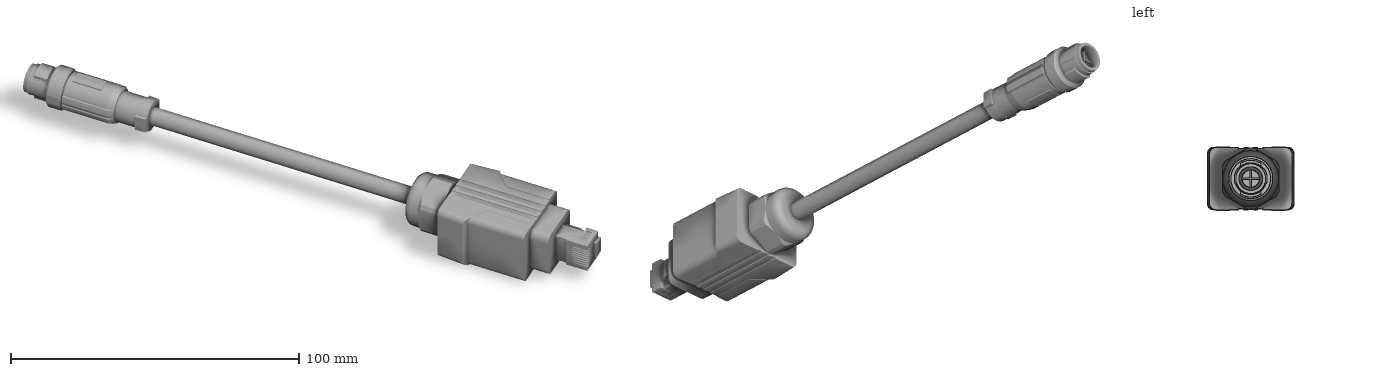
import cadquery as cq
import math


TIP_END = 0.0
TIP_RING_X = 1.5
LUG_START = 3.5
LUG_END = 8.5
COLLAR_START = 9.3
COLLAR_END = 15.1
GRIP_START = 15.8
GRIP_CONE_X = 32.5
GRIP_END = 35.0
RELIEF_PAD_X = 43.0
RELIEF_END = 47.1
NUT_START = 147.2
HEX_START = 152.8
HEX_END = 161.2
SHELL_START = 162.5
SHELL_END = 195.4
SOCKET_END = 202.5
PLUG_FRAME_X = 206.8
PLUG_HEAD_X = 210.7
PLUG_END = 215.0
NOSE_END = 216.0

TIP_DIAMETER = 10.4
TIP_BODY_DIAMETER = 11.0
BORE_DIAMETER = 8.2
BORE_DEPTH = 5.5
INSERT_DIAMETER = 6.0
INSERT_HEIGHT = 2.2
SHIELD_HEIGHT = 0.9
SHIELD_THICKNESS = 0.5
SIDE_PAD_DIAMETER = 11.5
SIDE_PAD_TOP = 3.5
SIDE_PAD_BOTTOM = -1.7
LUG_DIAMETER = 12.7
LUG_WIDTH = 7.1
COLLAR_DIAMETER = 15.3
COLLAR_CHAMFER = 0.75
COLLAR_FLAT_WIDTH = 3.5
NECK_DIAMETER = 12.5
GRIP_DIAMETER = 14.0
GRIP_END_DIAMETER = 12.7
RIB_DIAMETER = 15.3
RIB_BAND_WIDTH = 5.8
RIB_GAP = 1.3
RIB_CHAMFER = 1.3
LABEL_START = 17.5
LABEL_LENGTH = 11.0
LABEL_WIDTH = 4.8
LABEL_HEIGHT = 7.1
RELIEF_DIAMETER = 11.2
RELIEF_BAND_DIAMETER = 11.5
RELIEF_PAD_WIDTH = 6.0
RELIEF_PAD_START_HEIGHT = 6.0
RELIEF_PAD_END_HEIGHT = 5.8
CABLE_DIAMETER = 6.5

NUT_DIAMETER = 19.5
NUT_FILLET = 2.8
HEX_ACROSS_FLATS = 19.5
HEX_ACROSS_CORNER_FLATS = 21.5
GLAND_NECK_DIAMETER = 15.5

FLARE_HEIGHT = 21.6
SHELL_START_WIDTH = 28.5
SHELL_WIDTH = 30.0
SHELL_WIDEST_X = 172.5
SADDLE_START = 178.7
SADDLE_WIDTH = 14.7
SHELL_FILLET = 2.2
CORE_WIDTH = 27.2
CORE_HEIGHT = 22.0
GROOVE_COUNT = 3
GROOVE_WIDTH = 2.0
GROOVE_PITCH = 3.2
GROOVE_DEPTH = 0.32
SOCKET_SIZE = 18.2
SOCKET_FILLET = 2.8

PLUG_BODY_HEIGHT = 11.0
PLUG_BODY_BOTTOM = -3.2
PLUG_BODY_TOP = 3.0
FRAME_HEIGHT = 11.5
FRAME_BOTTOM = -3.9
FRAME_LEDGE = -1.5
HEAD_TOP = 5.0
HEAD_POCKET_START = 211.8
HEAD_POCKET_END = 213.5
HEAD_POCKET_BOTTOM = 0.5
HEAD_POCKET_TOP = 3.5
HEAD_POCKET_DEPTH = 0.2
NOSE_BOTTOM = 1.3
LATCH_WIDTH = 6.5
LATCH_TOP = 6.3
LATCH_BOTTOM = 4.8
LATCH_BEND_X = 207.7
LATCH_TIP_BOTTOM = 3.9
CONTACT_COUNT = 8
CONTACT_PITCH = 1.02
CONTACT_WIDTH = 0.55
CONTACT_START = 209.2
CONTACT_DEPTH = 2.0


def rod(start, end, diameter):
    """Cylinder on the X axis between two stations."""
    return cq.Workplane("YZ", origin=(start, 0, 0)).circle(diameter / 2).extrude(end - start)


def block(x_range, y_range, z_range):
    """Box given by its limits along each axis."""
    sizes = [high - low for low, high in (x_range, y_range, z_range)]
    corner = (x_range[0], y_range[0], z_range[0])
    return cq.Workplane("XY").box(*sizes, centered=False).translate(corner)


def centred(width):
    """Limits of a width centred on zero."""
    return (-width / 2, width / 2)


def prism(points, height):
    """XY outline extruded by height, centred on Z = 0."""
    return cq.Workplane("XY").polyline(points).close().extrude(height / 2, both=True)


def make_tip():
    """Hollow mating tip with two side pads, two lugs and an insert carrying a crossed shield."""
    tip = rod(TIP_END, TIP_RING_X, TIP_DIAMETER)
    tip = tip.union(rod(TIP_RING_X, COLLAR_START, TIP_BODY_DIAMETER))

    side_band = block(
        (TIP_RING_X, COLLAR_START), centred(SIDE_PAD_DIAMETER), (SIDE_PAD_BOTTOM, SIDE_PAD_TOP)
    )
    tip = tip.union(rod(TIP_RING_X, COLLAR_START, SIDE_PAD_DIAMETER).intersect(side_band))

    lug_band = block((LUG_START, LUG_END), centred(LUG_WIDTH), centred(LUG_DIAMETER))
    tip = tip.union(rod(LUG_START, LUG_END, LUG_DIAMETER).intersect(lug_band))

    tip = tip.cut(rod(TIP_END, BORE_DEPTH, BORE_DIAMETER))
    insert_face = BORE_DEPTH - INSERT_HEIGHT
    tip = tip.union(rod(insert_face, BORE_DEPTH, INSERT_DIAMETER))

    shield_x = (insert_face - SHIELD_HEIGHT, insert_face)
    across = centred(INSERT_DIAMETER)
    thin = centred(SHIELD_THICKNESS)
    return tip.union(block(shield_x, across, thin)).union(block(shield_x, thin, across))


def make_collar():
    """Chamfered ring with a narrow flat on each side."""
    collar = rod(COLLAR_START, COLLAR_END, COLLAR_DIAMETER).edges().chamfer(COLLAR_CHAMFER)
    across_flats = math.sqrt(COLLAR_DIAMETER**2 - COLLAR_FLAT_WIDTH**2)
    flats = block(
        (COLLAR_START, COLLAR_END), centred(across_flats), centred(COLLAR_DIAMETER)
    )
    return collar.intersect(flats).union(rod(COLLAR_END, GRIP_START, NECK_DIAMETER))


def make_grip():
    """Sleeve with a tapered end, a pair of ribs on each side and label pads."""
    outline = [
        (GRIP_START, 0),
        (GRIP_START, GRIP_DIAMETER / 2),
        (GRIP_CONE_X, GRIP_DIAMETER / 2),
        (GRIP_END, GRIP_END_DIAMETER / 2),
        (GRIP_END, 0),
    ]
    grip = cq.Workplane("XY").polyline(outline).close().revolve(360, (0, 0, 0), (1, 0, 0))

    ribs = rod(GRIP_START, GRIP_END, RIB_DIAMETER).faces(">X").edges().chamfer(RIB_CHAMFER)
    for side in (-1, 1):
        rib_z = sorted((side * RIB_GAP / 2, side * RIB_BAND_WIDTH / 2))
        band = block((GRIP_START, GRIP_END), centred(RIB_DIAMETER), rib_z)
        grip = grip.union(ribs.intersect(band))

    label_x = (LABEL_START, LABEL_START + LABEL_LENGTH)
    return grip.union(block(label_x, centred(LABEL_WIDTH), centred(2 * LABEL_HEIGHT)))


def make_strain_relief():
    """Rear sleeve and end band with a sloping flat pad on each side."""
    relief = rod(GRIP_END, RELIEF_PAD_X, RELIEF_DIAMETER)
    relief = relief.union(rod(RELIEF_PAD_X, RELIEF_END, RELIEF_BAND_DIAMETER))
    pads = [
        (RELIEF_PAD_X, -RELIEF_PAD_START_HEIGHT),
        (RELIEF_END, -RELIEF_PAD_END_HEIGHT),
        (RELIEF_END, RELIEF_PAD_END_HEIGHT),
        (RELIEF_PAD_X, RELIEF_PAD_START_HEIGHT),
    ]
    return relief.union(prism(pads, RELIEF_PAD_WIDTH))


def make_gland():
    """Domed nut with a hexagon whose corners are flattened, and its neck."""
    dome = rod(NUT_START, HEX_END, NUT_DIAMETER).faces("<X").edges().fillet(NUT_FILLET)

    across_corners = 2 * HEX_ACROSS_FLATS / math.sqrt(3)
    hexagon = (
        cq.Workplane("YZ", origin=(HEX_START, 0, 0))
        .transformed(rotate=(0, 0, 90))
        .polygon(6, across_corners)
        .extrude(HEX_END - HEX_START)
    )
    corner_flats = (
        cq.Workplane("YZ", origin=(HEX_START, 0, 0))
        .polygon(6, 2 * HEX_ACROSS_CORNER_FLATS / math.sqrt(3))
        .extrude(HEX_END - HEX_START)
    )
    lead_in = rod(HEX_START, HEX_END, across_corners).faces("<X").edges().chamfer(
        (across_corners - NUT_DIAMETER) / 2
    )
    nut = dome.union(hexagon.intersect(corner_flats).intersect(lead_in))
    return nut.union(rod(HEX_END, SHELL_START, GLAND_NECK_DIAMETER))


def make_shell():
    """Flared shell and saddle set slightly below a narrower core, grooved on top and bottom."""
    upper_side = [
        (SHELL_START, SHELL_START_WIDTH / 2),
        (SHELL_WIDEST_X, SHELL_WIDTH / 2),
        (SADDLE_START, SADDLE_WIDTH / 2),
        (SHELL_END, SADDLE_WIDTH / 2),
    ]
    lower_side = [(x, -y) for x, y in reversed(upper_side)]
    flare_outline = upper_side + lower_side
    flare = prism(flare_outline, FLARE_HEIGHT)
    side_x = (SHELL_START + SHELL_WIDEST_X) / 2
    side_y = (SHELL_START_WIDTH + SHELL_WIDTH) / 4
    for y in (-side_y, side_y):
        for z in (-FLARE_HEIGHT / 2, FLARE_HEIGHT / 2):
            long_edge = cq.selectors.NearestToPointSelector((side_x, y, z))
            flare = flare.edges(long_edge).fillet(SHELL_FILLET)

    core = block((SHELL_WIDEST_X, SHELL_END), centred(CORE_WIDTH), centred(CORE_HEIGHT))
    core = core.edges("|X").fillet(SHELL_FILLET).cut(prism(flare_outline, CORE_HEIGHT))
    shell = flare.union(core)

    top = FLARE_HEIGHT / 2
    for index in range(GROOVE_COUNT):
        y = (index - (GROOVE_COUNT - 1) / 2) * GROOVE_PITCH
        groove_y = (y - GROOVE_WIDTH / 2, y + GROOVE_WIDTH / 2)
        for groove_z in ((top - GROOVE_DEPTH, top), (-top, GROOVE_DEPTH - top)):
            shell = shell.cut(block((SHELL_START, SHELL_END), groove_y, groove_z))
    return shell


def make_socket():
    """Rounded square block behind the shell."""
    socket = block((SHELL_END, SOCKET_END), centred(SOCKET_SIZE), centred(SOCKET_SIZE))
    return socket.edges("|X").fillet(SOCKET_FILLET)


def make_modular_plug():
    """Plug body with an end frame, contact slots, nose and latch arm."""
    body_y = (PLUG_BODY_BOTTOM, PLUG_BODY_TOP)
    plug = block((SOCKET_END, PLUG_END), body_y, centred(PLUG_BODY_HEIGHT))

    frame_outline = [
        (PLUG_FRAME_X, FRAME_BOTTOM),
        (PLUG_END, FRAME_BOTTOM),
        (PLUG_END, HEAD_TOP),
        (PLUG_HEAD_X, HEAD_TOP),
        (PLUG_HEAD_X, 0),
        (HEAD_POCKET_END, 0),
        (HEAD_POCKET_END, FRAME_LEDGE),
        (PLUG_FRAME_X, FRAME_LEDGE),
    ]
    plug = plug.union(prism(frame_outline, FRAME_HEIGHT))

    pocket_x = (HEAD_POCKET_START, HEAD_POCKET_END)
    pocket_y = (HEAD_POCKET_BOTTOM, HEAD_POCKET_TOP)
    face = FRAME_HEIGHT / 2
    for pocket_z in ((face - HEAD_POCKET_DEPTH, face), (-face, HEAD_POCKET_DEPTH - face)):
        plug = plug.cut(block(pocket_x, pocket_y, pocket_z))

    contact_y = (FRAME_BOTTOM, FRAME_BOTTOM + CONTACT_DEPTH)
    for index in range(CONTACT_COUNT):
        z = (index - (CONTACT_COUNT - 1) / 2) * CONTACT_PITCH
        contact_z = (z - CONTACT_WIDTH / 2, z + CONTACT_WIDTH / 2)
        plug = plug.cut(block((CONTACT_START, PLUG_END), contact_y, contact_z))

    plug = plug.union(block((PLUG_END, NOSE_END), (NOSE_BOTTOM, HEAD_TOP), centred(LATCH_WIDTH)))
    latch_outline = [
        (SOCKET_END, LATCH_BOTTOM),
        (LATCH_BEND_X, LATCH_BOTTOM),
        (PLUG_HEAD_X, LATCH_TIP_BOTTOM),
        (PLUG_HEAD_X, HEAD_TOP),
        (LATCH_BEND_X, LATCH_TOP),
        (SOCKET_END, LATCH_TOP),
    ]
    return plug.union(prism(latch_outline, LATCH_WIDTH))


cable = rod(RELIEF_END, NUT_START, CABLE_DIAMETER)

result = (
    make_tip()
    .union(make_collar())
    .union(make_grip())
    .union(make_strain_relief())
    .union(cable)
    .union(make_gland())
    .union(make_shell())
    .union(make_socket())
    .union(make_modular_plug())
)